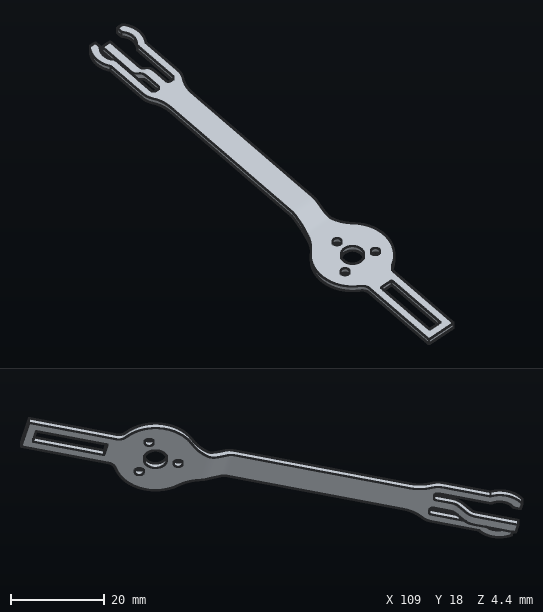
import cadquery as cq
import math

length = 109.0
thickness = 1.5
arm_level = 2.9
plate_level = 0.4
cut_height = 10.9

arm_half = 3.11
tongue_half = 1.14
tine_outer = 5.07
slot_end = 18.9
slot_corner = 0.7
hook_x = 4.0
hook_outer_top = 6.1
hook_outer_end = 7.2
hook_tip_y = 4.7
hook_inner_top = 4.1
hook_inner_half = 2.5
taper_start = 17.7
taper_end = 24.4
taper_split = 0.35

bend_radius = 2.3
bend_angle = 30.0
bend_start = 63.5
tongue_bend_radius = 1.7
tongue_bend_angle = 42.0
tongue_bend_start = 9.4

plate_x = 80.1
plate_radius = 8.99
arm_blend = 9.3
tail_blend = 2.1
tail_half = 3.54
bore_diameter = 5.0
pin_diameter = 2.0
pin_circle_radius = 5.0
pin_count = 3
window_start = 91.1
window_end = 106.9
window_width = 3.0


def joggled_strip(start, end, half_width, z_start, z_end, bend_x, radius, angle_deg):
    """Flat strip that changes level through two opposite bends of equal angle."""
    angle = math.radians(angle_deg)
    outer = radius + thickness
    rise = abs(z_end - z_start)
    slope = (rise - (radius + outer) * (1 - math.cos(angle))) / math.tan(angle)
    run = (radius + outer) * math.sin(angle) + slope
    direction = 1 if z_end > z_start else -1

    def arc_points(bend_radius):
        """Mid point and end point of a bend, as offsets from its flat end."""
        return [
            (bend_radius * math.sin(a), direction * bend_radius * (1 - math.cos(a)))
            for a in (angle / 2, angle)
        ]

    low_first, low_last = (outer, radius) if direction > 0 else (radius, outer)
    high_first, high_last = low_last, low_first
    finish_x = bend_x + run

    def first_bend(bend_radius, z):
        return [(bend_x + x, z + dz) for x, dz in arc_points(bend_radius)]

    def last_bend(bend_radius, z):
        return [(finish_x - x, z - dz) for x, dz in arc_points(bend_radius)]

    low_a = first_bend(low_first, z_start)
    low_b = last_bend(low_last, z_end)
    high_a = first_bend(high_first, z_start + thickness)
    high_b = last_bend(high_last, z_end + thickness)
    return (
        cq.Workplane("XZ")
        .moveTo(start, z_start)
        .lineTo(bend_x, z_start)
        .threePointArc(*low_a)
        .lineTo(*low_b[1])
        .threePointArc(low_b[0], (finish_x, z_end))
        .lineTo(end, z_end)
        .lineTo(end, z_end + thickness)
        .lineTo(finish_x, z_end + thickness)
        .threePointArc(*high_b)
        .lineTo(*high_a[1])
        .threePointArc(high_a[0], (bend_x, z_start + thickness))
        .lineTo(start, z_start + thickness)
        .close()
        .extrude(half_width, both=True)
    )


def blend_to_plate(half_width, blend_radius, side):
    """Start, middle and end of the concave arc from a straight edge to the plate."""
    centre_y = half_width + blend_radius
    reach = plate_radius + blend_radius
    offset = math.sqrt(reach**2 - centre_y**2)
    centre_x = plate_x + side * offset
    edge = (centre_x, half_width)
    turn = math.atan2(offset, centre_y) / 2
    middle = (
        centre_x - side * blend_radius * math.sin(turn),
        centre_y - blend_radius * math.cos(turn),
    )
    touch = (
        plate_x + side * plate_radius * offset / reach,
        plate_radius * centre_y / reach,
    )
    return edge, middle, touch


def half_outline():
    """Plan outline of the +Y half, without the fork slots."""
    arm_edge, arm_middle, arm_touch = blend_to_plate(arm_half, arm_blend, -1)
    tail_edge, tail_middle, tail_touch = blend_to_plate(tail_half, tail_blend, 1)
    taper_joint = (
        taper_start + taper_split * (taper_end - taper_start),
        tine_outer + taper_split * (arm_half - tine_outer),
    )
    return (
        cq.Workplane("XY")
        .lineTo(0, hook_tip_y)
        .threePointArc((hook_x, hook_outer_top), (hook_outer_end, tine_outer))
        .lineTo(taper_start, tine_outer)
        .tangentArcPoint(taper_joint, relative=False)
        .tangentArcPoint((taper_end, arm_half), relative=False)
        .lineTo(*arm_edge)
        .threePointArc(arm_middle, arm_touch)
        .threePointArc((plate_x, plate_radius), tail_touch)
        .threePointArc(tail_middle, tail_edge)
        .lineTo(length, tail_half)
        .lineTo(length, 0)
        .close()
        .extrude(cut_height)
    )


def fork_opening():
    """Space between the tines, including the hollows inside the hooks."""
    opening = cq.Workplane("XY").box(
        slot_end, 2 * arm_half, cut_height, centered=(False, True, False)
    )
    opening = opening.edges("|Z and >X").fillet(slot_corner)
    hollow = (
        cq.Workplane("XY")
        .moveTo(hook_x - hook_inner_half, arm_half)
        .threePointArc((hook_x, hook_inner_top), (hook_x + hook_inner_half, arm_half))
        .lineTo(hook_x + hook_inner_half, 0)
        .lineTo(hook_x - hook_inner_half, 0)
        .close()
        .extrude(cut_height)
    )
    return opening.union(hollow).union(hollow.mirror("XZ"))


def tongue_root():
    """Material between the two slots, with the slot corners rounded."""
    slot_width = arm_half - tongue_half
    root = cq.Workplane("XY").box(
        slot_end, 2 * arm_half, cut_height, centered=(False, True, False)
    )
    for side in (-1, 1):
        slot = (
            cq.Workplane("XY")
            .box(slot_end, slot_width, cut_height, centered=(False, True, False))
            .edges("|Z and >X")
            .fillet(slot_corner)
            .translate((0, side * (tongue_half + slot_width / 2), 0))
        )
        root = root.cut(slot)
    return root


half = half_outline()
outline = half.union(half.mirror("XZ")).cut(fork_opening())
body = joggled_strip(
    0, length, plate_radius, arm_level, plate_level, bend_start, bend_radius, bend_angle
).intersect(outline)

tongue = joggled_strip(
    0, slot_end, arm_half, 0, arm_level,
    tongue_bend_start, tongue_bend_radius, tongue_bend_angle,
).intersect(tongue_root())
body = body.union(tongue)

bore = cq.Workplane("XY").center(plate_x, 0).circle(bore_diameter / 2).extrude(cut_height)
pins = (
    cq.Workplane("XY")
    .center(plate_x, 0)
    .polarArray(pin_circle_radius, 180, 360, pin_count)
    .circle(pin_diameter / 2)
    .extrude(cut_height)
)
window = (
    cq.Workplane("XY")
    .center((window_start + window_end) / 2, 0)
    .rect(window_end - window_start, window_width)
    .extrude(cut_height)
)
result = body.cut(bore).cut(pins).cut(window)